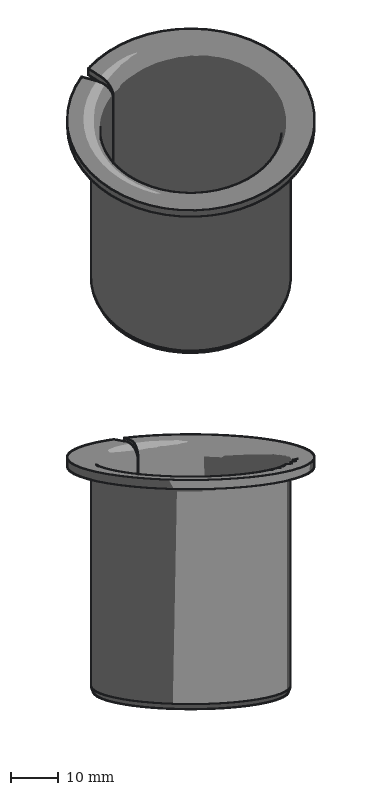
import cadquery as cq
import math

flange_diameter = 52.0
height = 50.0
wall = 2.0
tube_diameter = 42.0
outer_bend_radius = 1.5
inner_bend_radius = outer_bend_radius + wall

chamfer_height = 1.2
chamfer_angle = 20.0
chamfer_width = chamfer_height * math.tan(math.radians(chamfer_angle))

split_mouth = 2.7
split_half_angle = 10.0

flange_radius = flange_diameter / 2
tube_radius = tube_diameter / 2
bore_radius = tube_radius - wall
bend_center_radius = tube_radius + outer_bend_radius
bend_center_z = height - inner_bend_radius


def bend_midpoint(radius):
    """Point halfway around a quarter bend, in radius and height."""
    offset = radius * math.sqrt(0.5)
    return bend_center_radius - offset, bend_center_z + offset


def make_bushing():
    """Revolve the wall section around Z."""
    return (
        cq.Workplane("XZ")
        .moveTo(bore_radius, 0)
        .lineTo(tube_radius - chamfer_width, 0)
        .lineTo(tube_radius, chamfer_height)
        .lineTo(tube_radius, bend_center_z)
        .threePointArc(bend_midpoint(outer_bend_radius), (bend_center_radius, height - wall))
        .lineTo(flange_radius, height - wall)
        .lineTo(flange_radius, height)
        .lineTo(bend_center_radius, height)
        .threePointArc(bend_midpoint(inner_bend_radius), (bore_radius, bend_center_z))
        .close()
        .revolve(360, (0, 0, 0), (0, 1, 0))
    )


def make_split():
    """Wedge that narrows toward the axis and ends inside the bore."""
    slope = math.tan(math.radians(split_half_angle))
    tip_x = -flange_radius + split_mouth / 2 / slope
    outer_x = -flange_radius - split_mouth
    outer_half_width = (tip_x - outer_x) * slope
    return (
        cq.Workplane("XY")
        .polyline([(tip_x, 0), (outer_x, outer_half_width), (outer_x, -outer_half_width)])
        .close()
        .extrude(height)
    )


result = make_bushing().cut(make_split())